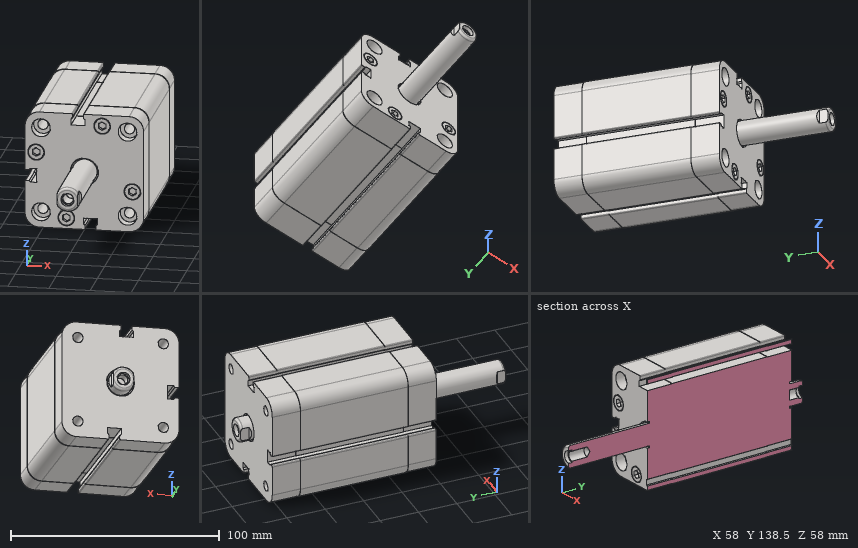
import cadquery as cq
import math

TOTAL_LENGTH = 138.5
FRONT_Y = -TOTAL_LENGTH / 2
REAR_Y = TOTAL_LENGTH / 2
REAR_ROD_LENGTH = 6.4
BODY_LENGTH = 85.6
BODY_REAR_Y = REAR_Y - REAR_ROD_LENGTH
BODY_FRONT_Y = BODY_REAR_Y - BODY_LENGTH
CAP_LENGTH = 14.7

TUBE_WIDTH = 58.0
CAP_INSET = 0.1
CAP_WIDTH = TUBE_WIDTH - 2 * CAP_INSET
CORNER_RADIUS = 7.0

SLOT_OFFSET = 3.0
SLOT_MOUTH_WIDTH = 5.3
SLOT_INNER_WIDTH = 6.8
SLOT_DEPTH = 5.7
SLOT_LIP_DEPTH = 2.1
SLOT_MOUTH_RADIUS = 0.4
SLOT_TURNS = (0, 90, 180)

MOUNT_OFFSET = 21.0
MOUNT_HOLE_DIAMETER = 5.0
MOUNT_BORE_DIAMETER = 9.0
MOUNT_BORE_DEPTH = 5.5

SCREW_COUNT = 4
SCREW_ACROSS = 8.7
SCREW_OUT = 23.4
SCREW_RECESS_DIAMETER = 8.0
SCREW_HEAD_DIAMETER = 7.5
SCREW_HEAD_HEIGHT = 4.2
SCREW_SOCKET_FLATS = 3.6
SCREW_SOCKET_DEPTH = 2.1

ROD_DIAMETER = 12.0
ROD_END_RADIUS = 1.2
ROD_CLEARANCE_DIAMETER = 13.6
ROD_CLEARANCE_DEPTH = 1.4
FLAT_WIDTH = 10.0
FLAT_LENGTH = 4.5
THREAD_DIAMETER = 5.0
THREAD_MOUTH_DIAMETER = 6.2
THREAD_MOUTH_DEPTH = 2.1
THREAD_DEPTH = 11.1
DRILL_TIP_ANGLE = 118.0


def turned(shape, angle):
    """Turn a shape about the rod axis, counter-clockwise as seen from the front."""
    return shape.rotate((0, 0, 0), (0, -1, 0), angle)


def cylinder(diameter, front_y, length, x=0.0, z=0.0):
    """Cylinder along Y that starts at front_y and runs toward the rear."""
    plane = cq.Workplane("XZ", origin=(x, front_y, z))
    return plane.circle(diameter / 2).extrude(-length)


def sensor_slot(face_z, front_y, length):
    """Undercut slot with a rounded mouth, opening at the top face."""
    half_mouth = SLOT_MOUTH_WIDTH / 2
    half_inner = SLOT_INNER_WIDTH / 2
    lip_z = face_z - SLOT_LIP_DEPTH
    undercut_z = lip_z - (half_inner - half_mouth)
    floor_z = face_z - SLOT_DEPTH
    right_side = [
        (half_inner, floor_z),
        (half_inner, undercut_z),
        (half_mouth, lip_z),
        (half_mouth, face_z - SLOT_MOUTH_RADIUS),
    ]
    left_side = [(-x, z) for x, z in reversed(right_side)]
    rounded_x = half_mouth + SLOT_MOUTH_RADIUS
    outline = (
        cq.Workplane("XZ", origin=(-SLOT_OFFSET, front_y, 0))
        .polyline(right_side)
        .radiusArc((rounded_x, face_z), SLOT_MOUTH_RADIUS)
        .lineTo(-rounded_x, face_z)
        .radiusArc(left_side[0], SLOT_MOUTH_RADIUS)
        .polyline(left_side, includeCurrent=False)
    )
    return outline.close().extrude(-length)


def body_section(width, front_y, length):
    """Length of the square body with rounded corners and a slot on every side but +X."""
    block = cq.Workplane("XZ", origin=(0, front_y, 0)).rect(width, width).extrude(-length)
    block = block.edges("|Y").fillet(CORNER_RADIUS)
    for angle in SLOT_TURNS:
        block = block.cut(turned(sensor_slot(width / 2, front_y, length), angle))
    return block


def mounting_hole(x, z):
    """Through hole with a counterbore in the front face."""
    hole = cylinder(MOUNT_HOLE_DIAMETER, BODY_FRONT_Y, BODY_LENGTH, x, z)
    bore = cylinder(MOUNT_BORE_DIAMETER, BODY_FRONT_Y, MOUNT_BORE_DEPTH, x, z)
    return hole.union(bore)


def screw_cut(x, z):
    """Narrow ring around a flush screw head, plus its hexagon socket."""
    recess = cylinder(SCREW_RECESS_DIAMETER, BODY_FRONT_Y, SCREW_HEAD_HEIGHT, x, z)
    head = cylinder(SCREW_HEAD_DIAMETER, BODY_FRONT_Y, SCREW_HEAD_HEIGHT, x, z)
    corner_diameter = SCREW_SOCKET_FLATS / math.cos(math.radians(30))
    socket = (
        cq.Workplane("XZ", origin=(x, BODY_FRONT_Y, z))
        .transformed(rotate=(0, 0, 90))
        .polygon(6, corner_diameter)
        .extrude(-SCREW_SOCKET_DEPTH)
    )
    return recess.cut(head).union(socket)


def wrench_flat_cut():
    """Material removed at the front end of the rod on the +X side, ending in a 45 degree run-out."""
    flat_x = FLAT_WIDTH / 2
    reach = ROD_DIAMETER / 2 - flat_x
    outline = cq.Workplane("XY", origin=(0, 0, -ROD_DIAMETER / 2)).polyline([
        (flat_x, FRONT_Y),
        (flat_x, FRONT_Y + FLAT_LENGTH),
        (flat_x + reach, FRONT_Y + FLAT_LENGTH + reach),
        (flat_x + reach, FRONT_Y),
    ])
    return outline.close().extrude(ROD_DIAMETER)


def threaded_hole_cut():
    """Blind hole in the front end of the rod with a wider mouth and a drill-point bottom."""
    hole_radius = THREAD_DIAMETER / 2
    mouth_radius = THREAD_MOUTH_DIAMETER / 2
    tip_length = hole_radius / math.tan(math.radians(DRILL_TIP_ANGLE / 2))
    half_profile = cq.Workplane("XY").polyline([
        (0, FRONT_Y),
        (mouth_radius, FRONT_Y),
        (mouth_radius, FRONT_Y + THREAD_MOUTH_DEPTH),
        (hole_radius, FRONT_Y + THREAD_MOUTH_DEPTH),
        (hole_radius, FRONT_Y + THREAD_DEPTH),
        (0, FRONT_Y + THREAD_DEPTH + tip_length),
    ])
    return half_profile.close().revolve(360, (0, 0, 0), (0, 1, 0))


def piston_rod():
    """Through rod with identical rounded, flatted and threaded ends."""
    rod = cylinder(ROD_DIAMETER, FRONT_Y, TOTAL_LENGTH).edges().fillet(ROD_END_RADIUS)
    flat = wrench_flat_cut()
    end_cut = flat.union(flat.mirror("YZ")).union(threaded_hole_cut())
    return rod.cut(end_cut).cut(end_cut.mirror("XZ"))


body = body_section(TUBE_WIDTH, BODY_FRONT_Y + CAP_LENGTH, BODY_LENGTH - 2 * CAP_LENGTH)
for cap_front_y in (BODY_FRONT_Y, BODY_REAR_Y - CAP_LENGTH):
    body = body.union(body_section(CAP_WIDTH, cap_front_y, CAP_LENGTH))

for x in (-MOUNT_OFFSET, MOUNT_OFFSET):
    for z in (-MOUNT_OFFSET, MOUNT_OFFSET):
        body = body.cut(mounting_hole(x, z))

screw_x, screw_z = SCREW_ACROSS, SCREW_OUT
for _ in range(SCREW_COUNT):
    body = body.cut(screw_cut(screw_x, screw_z))
    screw_x, screw_z = -screw_z, screw_x

for clearance_front_y in (BODY_FRONT_Y, BODY_REAR_Y - ROD_CLEARANCE_DEPTH):
    body = body.cut(cylinder(ROD_CLEARANCE_DIAMETER, clearance_front_y, ROD_CLEARANCE_DEPTH))

result = body.union(piston_rod())